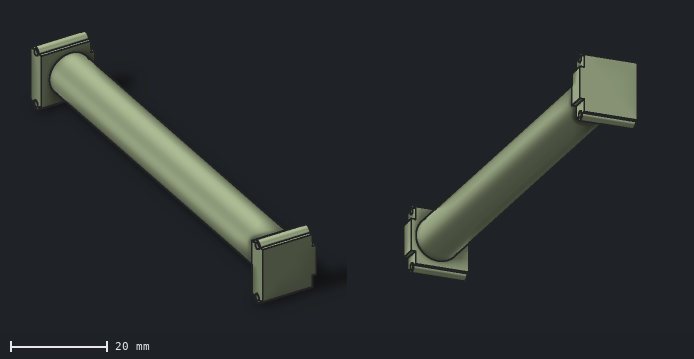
import cadquery as cq

length = 94.0
height = 15.0

plate_thickness = 4.3
plate_depth = 12.0
plate_height = 12.8

ear_radius = 1.3
ear_hole_diameter = 1.5
ear_offset = height / 2 - ear_radius

tab_depth = 0.9
tab_height = 7.1

bar_diameter = 10.0
bar_center_y = 7.0

plate_offset = (length - plate_thickness) / 2


def box_from_front(depth, box_height):
    """Box as wide as a plate, reaching back from Y = 0."""
    return cq.Workplane("XY").box(
        plate_thickness, depth, box_height, centered=(True, False, True)
    )


def cylinders_at_ears(diameter):
    """Upper and lower cylinders running through the plate depth."""
    return (
        cq.Workplane("XZ")
        .pushPoints([(0, ear_offset), (0, -ear_offset)])
        .circle(diameter / 2)
        .extrude(-plate_depth)
    )


def make_end_plate():
    """Plate with its back tab, ears and through holes, centred on X = 0."""
    plate = box_from_front(plate_depth, plate_height)
    plate = plate.union(box_from_front(plate_depth + tab_depth, tab_height))
    plate = plate.union(cylinders_at_ears(2 * ear_radius))
    return plate.cut(cylinders_at_ears(ear_hole_diameter))


def make_bar():
    """Round bar spanning the gap between the inner plate faces."""
    bar_length = length - 2 * plate_thickness
    return (
        cq.Workplane("YZ", origin=(-bar_length / 2, bar_center_y, 0))
        .circle(bar_diameter / 2)
        .extrude(bar_length)
    )


result = make_bar()
for side in (-1, 1):
    result = result.union(make_end_plate().translate((side * plate_offset, 0, 0)))